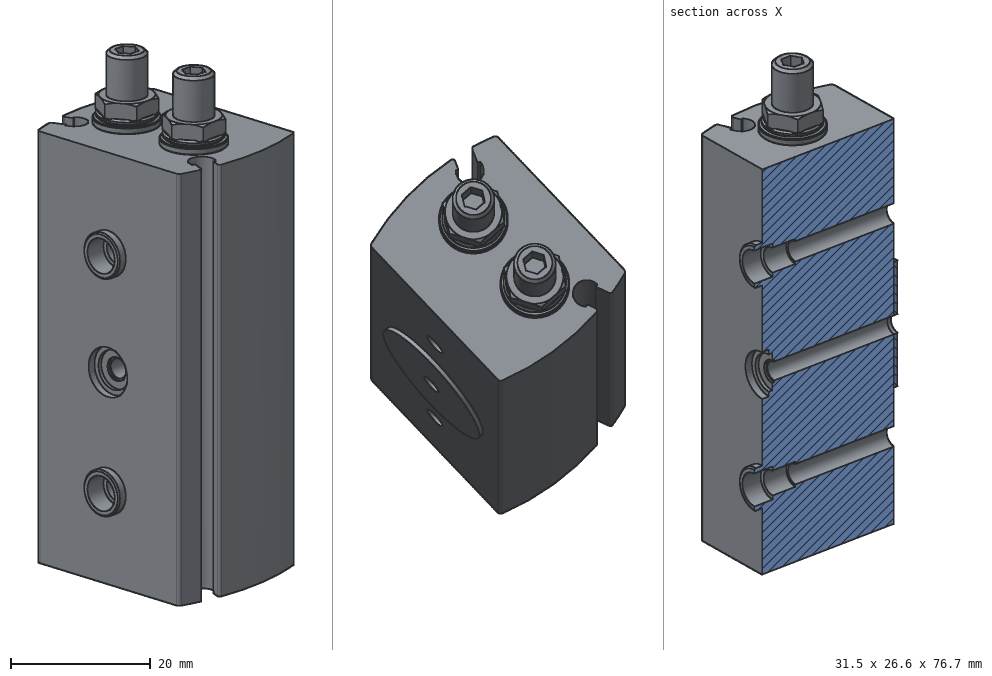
import cadquery as cq
import math

HOUSING_WIDTH = 31.5
HOUSING_DEPTH = 24.5
HOUSING_HEIGHT = 65.6
SIDE_RADIUS = 38.35
CORNER_RADIUS = 0.6

SLOT_CENTER_X = 12.4
SLOT_CENTER_Y = 6.4
SLOT_RADIUS = 2.0
SLOT_MOUTH_WIDTH = 2.9
SLOT_NECK_TO_CENTER = 0.73
SLOT_TILT = 22.0
LIP_RADIUS = 0.4

BORE_ROW_Z = 32.2
BORE_PITCH = 18.0

SLEEVE_DIAMETER = 7.0
SLEEVE_BORE = 5.3
SLEEVE_HEIGHT = 1.45
SLEEVE_BORE_DEPTH = 3.4
SLEEVE_CHAMFER = 0.2
MOUNTING_STEP_DIAMETER = 4.0
MOUNTING_STEP_DEPTH = 6.1
MOUNTING_HOLE_DIAMETER = 3.2

MIDDLE_RECESS_DIAMETER = 7.5
MIDDLE_RECESS_DEPTH = 1.2
MIDDLE_STEP_DIAMETER = 6.0
MIDDLE_STEP_DEPTH = 1.85
MIDDLE_HOLE_DIAMETER = 3.0
MIDDLE_HOLE_MOUTH_DIAMETER = 3.6
MIDDLE_HOLE_MOUTH_DEPTH = 2.2

FLANGE_DIAMETER = 20.4
FLANGE_THICKNESS = 0.7
FLANGE_HOLE_DIAMETER = MIDDLE_HOLE_DIAMETER

SCREW_SPACING = 13.05
SCREW_Y = 11.05
SCREW_DIAMETER = 6.0
SCREW_TIP_DIAMETER = 5.0
SCREW_CHAMFER_HEIGHT = 0.45
SCREW_HEIGHT = 76.7 - HOUSING_HEIGHT
SOCKET_WIDTH = 3.0
SOCKET_DEPTH = 3.0
COLLAR_DIAMETER = 9.9
COLLAR_HEIGHT = 1.1
COLLAR_CHAMFER = 0.15
SEAL_DIAMETER = 9.0
SEAL_TOP_Z = 2.0
SEAL_CHAMFER = 0.3
NUT_WIDTH = 8.05
NUT_TOP_Z = 4.4
NUT_CHAMFER_DIAMETER = 8.1
NUT_CHAMFER_HEIGHT = 0.3


def hexagon(width, height, bottom_z):
    """Hexagonal prism with two flats facing +X and -X."""
    corner_diameter = width / math.cos(math.radians(30))
    return (
        cq.Workplane("XY", origin=(0, 0, bottom_z))
        .transformed(rotate=(0, 0, 90))
        .polygon(6, corner_diameter)
        .extrude(height)
    )


def front_cylinder(diameter, start_y, length, z):
    """Cylinder on the middle plane that runs from start_y toward +Y."""
    return cq.Workplane("XZ", origin=(0, start_y, z)).circle(diameter / 2).extrude(-length)


def housing_block():
    """Extruded block with flat front and back and bowed sides."""
    middle_y = HOUSING_DEPTH / 2
    half_width = HOUSING_WIDTH / 2
    bow = SIDE_RADIUS - math.sqrt(SIDE_RADIUS**2 - middle_y**2)
    half_face = half_width - bow
    return (
        cq.Workplane("XY")
        .moveTo(-half_face, 0)
        .lineTo(half_face, 0)
        .threePointArc((half_width, middle_y), (half_face, HOUSING_DEPTH))
        .lineTo(-half_face, HOUSING_DEPTH)
        .threePointArc((-half_width, middle_y), (-half_face, 0))
        .close()
        .extrude(HOUSING_HEIGHT)
        .edges("|Z")
        .fillet(CORNER_RADIUS)
    )


def sensor_slot():
    """Slot for the +X side: a round channel cut off flat at a narrower mouth."""
    neck_x = SLOT_NECK_TO_CENTER
    neck_half_height = math.sqrt(SLOT_RADIUS**2 - neck_x**2)
    half_mouth = SLOT_MOUTH_WIDTH / 2
    mouth_x = HOUSING_WIDTH / 4
    return (
        cq.Workplane("XY")
        .moveTo(mouth_x, half_mouth)
        .lineTo(neck_x, half_mouth)
        .lineTo(neck_x, neck_half_height)
        .threePointArc((-SLOT_RADIUS, 0), (neck_x, -neck_half_height))
        .lineTo(neck_x, -half_mouth)
        .lineTo(mouth_x, -half_mouth)
        .close()
        .extrude(HOUSING_HEIGHT)
        .rotate((0, 0, 0), (0, 0, 1), -SLOT_TILT)
        .translate((SLOT_CENTER_X, SLOT_CENTER_Y, 0))
    )


def slot_lip_box():
    """Region around the slot mouths that holds only the outer lip edges."""
    lip_x = SLOT_CENTER_X + SLOT_RADIUS
    return cq.selectors.BoxSelector(
        (lip_x, SLOT_CENTER_Y - 2 * SLOT_RADIUS, 0),
        (HOUSING_WIDTH, SLOT_CENTER_Y + SLOT_RADIUS, HOUSING_HEIGHT),
    )


def cut_sensor_slots(block):
    """Cut both slots and round the lips of their mouths."""
    slot = sensor_slot()
    right_side = block.cut(slot).edges("|Z").edges(slot_lip_box()).fillet(LIP_RADIUS)
    right_half = right_side.intersect(
        cq.Workplane("XY").box(
            HOUSING_WIDTH, HOUSING_DEPTH, HOUSING_HEIGHT, centered=(False, False, False)
        )
    )
    return right_half.union(right_half.mirror("YZ")).clean()


def add_mounting_bore(body, z):
    """Centring sleeve standing on the front face, with a stepped hole through the housing."""
    sleeve = (
        front_cylinder(SLEEVE_DIAMETER, -SLEEVE_HEIGHT, SLEEVE_HEIGHT, z)
        .faces("<Y")
        .edges()
        .chamfer(SLEEVE_CHAMFER)
    )
    return (
        body.union(sleeve)
        .cut(front_cylinder(SLEEVE_BORE, -SLEEVE_HEIGHT, SLEEVE_BORE_DEPTH, z))
        .cut(front_cylinder(MOUNTING_STEP_DIAMETER, 0, MOUNTING_STEP_DEPTH, z))
        .cut(front_cylinder(MOUNTING_HOLE_DIAMETER, 0, HOUSING_DEPTH, z))
    )


def cut_middle_bore(body):
    """Two shallow recesses and a through hole with a slightly wider mouth."""
    return (
        body.cut(front_cylinder(MIDDLE_RECESS_DIAMETER, 0, MIDDLE_RECESS_DEPTH, BORE_ROW_Z))
        .cut(front_cylinder(MIDDLE_STEP_DIAMETER, 0, MIDDLE_STEP_DEPTH, BORE_ROW_Z))
        .cut(front_cylinder(MIDDLE_HOLE_MOUTH_DIAMETER, 0, MIDDLE_HOLE_MOUTH_DEPTH, BORE_ROW_Z))
        .cut(front_cylinder(MIDDLE_HOLE_DIAMETER, 0, HOUSING_DEPTH, BORE_ROW_Z))
    )


def make_housing():
    """Housing with its sensor slots, centring sleeves and bores."""
    body = cut_sensor_slots(housing_block())
    for side in (-1, 1):
        body = add_mounting_bore(body, BORE_ROW_Z + side * BORE_PITCH)
    return cut_middle_bore(body)


def make_flange():
    """Thin output disc on the back face, with a central hole."""
    disc = front_cylinder(FLANGE_DIAMETER, HOUSING_DEPTH, FLANGE_THICKNESS, BORE_ROW_Z)
    hole = front_cylinder(FLANGE_HOLE_DIAMETER, HOUSING_DEPTH, FLANGE_THICKNESS, BORE_ROW_Z)
    return disc.cut(hole)


def make_lock_nut():
    """Hexagon nut, chamfered at both ends, on a seal ring and a wider collar."""
    collar = (
        cq.Workplane("XY")
        .circle(COLLAR_DIAMETER / 2)
        .extrude(COLLAR_HEIGHT)
        .edges()
        .chamfer(COLLAR_CHAMFER)
    )
    seal = (
        cq.Workplane("XY", origin=(0, 0, COLLAR_HEIGHT))
        .circle(SEAL_DIAMETER / 2)
        .extrude(SEAL_TOP_Z - COLLAR_HEIGHT)
        .edges()
        .chamfer(SEAL_CHAMFER)
    )
    nut_bottom_z = SEAL_TOP_Z - SEAL_CHAMFER
    nut_height = NUT_TOP_Z - nut_bottom_z
    corner_radius = NUT_WIDTH / 2 / math.cos(math.radians(30))
    chamfer_width = corner_radius - NUT_CHAMFER_DIAMETER / 2
    chamfer_envelope = (
        cq.Workplane("XY", origin=(0, 0, nut_bottom_z))
        .circle(corner_radius)
        .extrude(nut_height)
        .edges()
        .chamfer(NUT_CHAMFER_HEIGHT, chamfer_width)
    )
    nut = hexagon(NUT_WIDTH, nut_height, nut_bottom_z).intersect(chamfer_envelope)
    return collar.union(seal).union(nut)


def make_stop_screw(x):
    """Stop screw with a hexagon socket and its lock nut, standing on the housing top."""
    chamfer_width = (SCREW_DIAMETER - SCREW_TIP_DIAMETER) / 2
    screw = (
        cq.Workplane("XY")
        .circle(SCREW_DIAMETER / 2)
        .extrude(SCREW_HEIGHT)
        .faces(">Z")
        .edges()
        .chamfer(SCREW_CHAMFER_HEIGHT, chamfer_width)
    )
    socket = hexagon(SOCKET_WIDTH, SOCKET_DEPTH, SCREW_HEIGHT - SOCKET_DEPTH)
    return make_lock_nut().union(screw).cut(socket).translate((x, SCREW_Y, HOUSING_HEIGHT))


housing = make_housing()
flange = make_flange()
stop_screws = [make_stop_screw(side * SCREW_SPACING / 2) for side in (-1, 1)]

result = cq.Compound.makeCompound(
    [housing.val(), flange.val(), *[screw.val() for screw in stop_screws]]
)